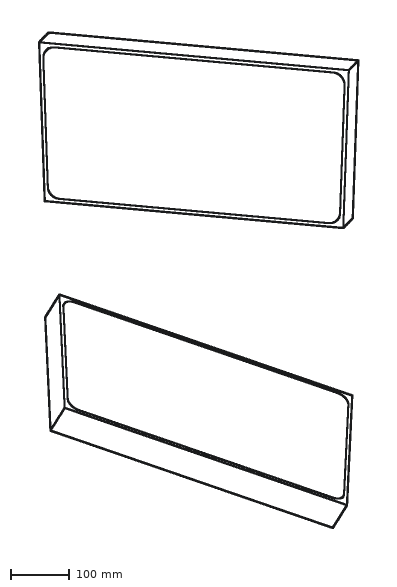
import cadquery as cq

top_width = 553.0
bottom_width = 533.0
height = 285.0
depth = 58.0

wall = 6.5
floor_thickness = 11.0
corner_radius = 20.5

bottom_z = -height / 2
top_z = height / 2
front_y = -depth / 2
pocket_depth = depth - floor_thickness


def trapezoid():
    """Outer outline on the open face, wider at the top."""
    return cq.Workplane("XZ", origin=(0, front_y, 0)).polyline([
        (-bottom_width / 2, bottom_z),
        (bottom_width / 2, bottom_z),
        (top_width / 2, top_z),
        (-top_width / 2, top_z),
    ]).close()


body = trapezoid().extrude(-depth)

pocket = (
    trapezoid().offset2D(-wall).extrude(-pocket_depth)
    .edges("|Y").fillet(corner_radius)
    .faces(">Y").edges().fillet(corner_radius)
)

result = body.cut(pocket)